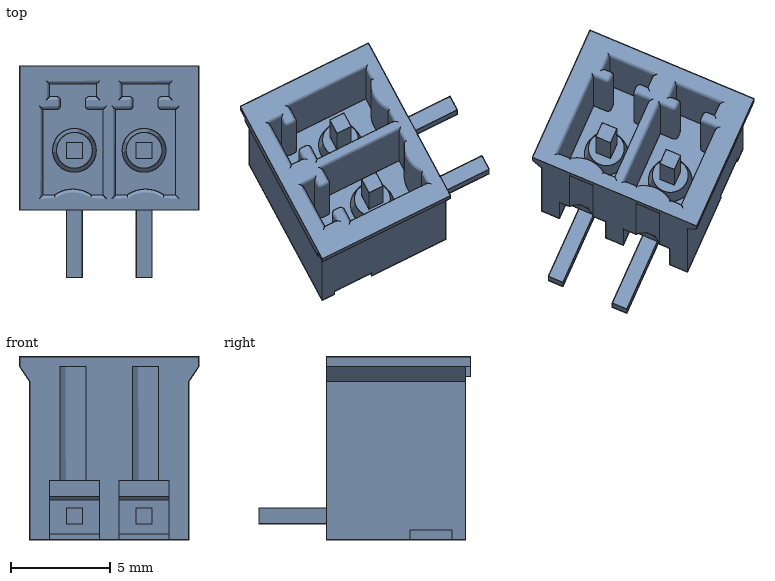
import cadquery as cq
import math


body_width = 8.0
body_depth = 7.0
height = 9.2
rim_width = 9.0
rim_thickness = 0.5
rim_taper_height = 0.75
rim_overhang = 0.25
rear_lip_height = 0.5

cavity_pitch = 3.65
cavity_width = 3.02
cavity_front = 0.75
cavity_back = 5.05
cavity_floor = 4.0
neck_width = 1.25
rib_thickness = 0.65
key_width = 2.35
key_back = 6.33
edge_radius = 0.2

bulge_radius = 1.6
bulge_height = 0.3
groove_radius = bulge_radius - cavity_front
groove_axis_y = cavity_front + bulge_height - bulge_radius
groove_top = height - rim_thickness

pin_pitch = 3.5
pin_size = 0.8
pin_y = 3.0
pin_top = 7.9
pin_axis_z = 1.2
pin_reach = 3.4
collar_base_radius = 1.1
collar_top_radius = 0.9
collar_height = 1.0

exit_width = 2.53
exit_top = 2.98
exit_lip_depth = 0.3
exit_lip_bottom = 2.18
exit_back_top = 2.0
exit_depth = 1.4
relief_height = 0.29
relief_depth = 0.3
notch_front = 4.2
notch_back = 6.3
notch_height = 0.5

cavity_centers = [-cavity_pitch / 2, cavity_pitch / 2]
pin_centers = [-pin_pitch / 2, pin_pitch / 2]


def block(x_center, width, y_min, y_max, z_min, z_max):
    """Axis-aligned box centred on x_center."""
    size = (width, y_max - y_min, z_max - z_min)
    return cq.Workplane("XY").box(*size, centered=(True, False, False)).translate((x_center, y_min, z_min))


def housing():
    """Body with flared sides, a flat rim and a lip along the rear of the rim."""
    rim_bottom = height - rim_thickness
    taper_bottom = rim_bottom - rim_taper_height
    flared = (
        cq.Workplane("XZ")
        .moveTo(-body_width / 2, 0)
        .lineTo(body_width / 2, 0)
        .lineTo(body_width / 2, taper_bottom)
        .lineTo(rim_width / 2, rim_bottom)
        .lineTo(rim_width / 2, height)
        .lineTo(-rim_width / 2, height)
        .lineTo(-rim_width / 2, rim_bottom)
        .lineTo(-body_width / 2, taper_bottom)
        .close()
        .extrude(-body_depth)
    )
    rim_back = body_depth + rim_overhang
    rim = block(0, rim_width, 0, rim_back, rim_bottom, height)
    lip = block(0, body_width, body_depth, rim_back, rim_bottom - rear_lip_height, height)
    return flared.union(rim).union(lip)


def cavity(x_center):
    """Keyed pocket: main chamber, neck between two round-ended ribs, and rear key chamber."""
    half_main = cavity_width / 2
    half_neck = neck_width / 2
    half_key = key_width / 2
    key_front = cavity_back + rib_thickness
    bulge_half_chord = math.sqrt(bulge_radius**2 - (cavity_front - groove_axis_y) ** 2)
    r = edge_radius
    tip = r * (1 - math.sqrt(0.5))
    outline = (
        cq.Workplane("XY")
        .workplane(offset=cavity_floor)
        .center(x_center, 0)
        .moveTo(-half_main, cavity_front)
        .lineTo(-bulge_half_chord, cavity_front)
        .threePointArc((0, cavity_front + bulge_height), (bulge_half_chord, cavity_front))
        .lineTo(half_main, cavity_front)
        .lineTo(half_main, cavity_back)
        .lineTo(half_neck + r, cavity_back)
        .threePointArc((half_neck + tip, cavity_back + tip), (half_neck, cavity_back + r))
        .lineTo(half_neck, key_front - r)
        .threePointArc((half_neck + tip, key_front - tip), (half_neck + r, key_front))
        .lineTo(half_key, key_front)
        .lineTo(half_key, key_back)
        .lineTo(-half_key, key_back)
        .lineTo(-half_key, key_front)
        .lineTo(-half_neck - r, key_front)
        .threePointArc((-half_neck - tip, key_front - tip), (-half_neck, key_front - r))
        .lineTo(-half_neck, cavity_back + r)
        .threePointArc((-half_neck - tip, cavity_back + tip), (-half_neck - r, cavity_back))
        .lineTo(-half_main, cavity_back)
        .close()
    )
    return outline.extrude(height - cavity_floor)


def groove(x_center):
    """Round groove down the front face, ending in the pin exit."""
    return (
        cq.Workplane("XY")
        .workplane(offset=exit_top)
        .center(x_center, groove_axis_y)
        .circle(groove_radius)
        .extrude(groove_top - exit_top)
    )


def pin_exit(x_center):
    """Recess in the front and the underside: lip at the top, shallow step at the bottom rear."""
    relief_back = exit_depth + relief_depth
    profile = (
        cq.Workplane("YZ")
        .moveTo(0, 0)
        .lineTo(0, exit_top)
        .lineTo(exit_lip_depth, exit_top)
        .lineTo(exit_lip_depth, exit_lip_bottom)
        .lineTo(exit_depth, exit_back_top)
        .lineTo(exit_depth, relief_height)
        .lineTo(relief_back, relief_height)
        .lineTo(relief_back, 0)
        .close()
    )
    return profile.extrude(exit_width / 2, both=True).translate((x_center, 0, 0))


def side_notch(side):
    """Notch under one outer wall, as deep in X as the wall beside the pin exit is thick."""
    wall_inner = (pin_pitch + exit_width) / 2
    wall_outer = body_width / 2
    x_center = side * (wall_inner + wall_outer) / 2
    return block(x_center, wall_outer - wall_inner, notch_front, notch_back, 0, notch_height)


def pin(x_center):
    """Square pin bent from vertical to forward, with a tapered collar on the cavity floor."""
    half = pin_size / 2
    pin_bottom = pin_axis_z - half
    upright = block(x_center, pin_size, pin_y - half, pin_y + half, pin_bottom, pin_top)
    tail = block(x_center, pin_size, -pin_reach, pin_y + half, pin_bottom, pin_axis_z + half)
    collar = (
        cq.Workplane("XY")
        .workplane(offset=cavity_floor)
        .center(x_center, pin_y)
        .circle(collar_base_radius)
        .workplane(offset=collar_height)
        .circle(collar_top_radius)
        .loft()
    )
    return upright.union(tail).union(collar)


result = housing()
for x in cavity_centers:
    result = result.cut(cavity(x))

mouth_edges = [edge for wire in result.faces(">Z").val().innerWires() for edge in wire.Edges()]
result = result.newObject(mouth_edges).fillet(edge_radius)

for x in cavity_centers:
    result = result.cut(groove(x))
for x in pin_centers:
    result = result.cut(pin_exit(x))

for side in (-1, 1):
    result = result.cut(side_notch(side))

for x in pin_centers:
    result = result.union(pin(x))